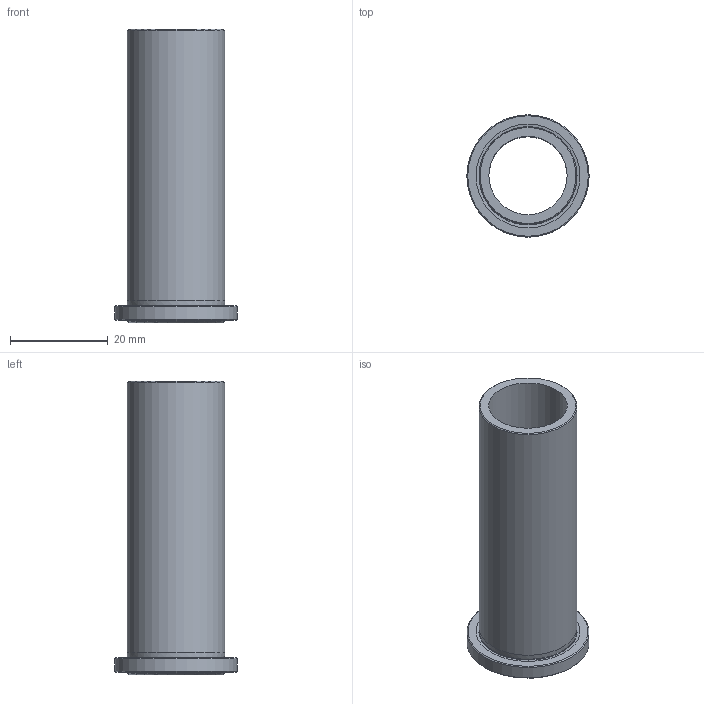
import cadquery as cq
import math

total_length = 60.0
bore_diameter = 16.0
sleeve_diameter = 20.0
flange_diameter = 25.0
flange_thickness = 3.0
sleeve_edge_chamfer = 0.2
flange_edge_chamfer = 0.2

spigot_length = 0.5
spigot_chamfer_width = 0.5
spigot_chamfer_slope = math.radians(30)
spigot_flare_width = 0.5

relief_depth = 0.1
relief_length = 1.1
relief_face_slope = math.radians(8)
relief_corner_radius = 0.1

bore_radius = bore_diameter / 2
sleeve_radius = sleeve_diameter / 2
flange_radius = flange_diameter / 2
spigot_chamfer_height = spigot_chamfer_width * math.tan(spigot_chamfer_slope)
flange_bottom = spigot_length
flange_top = flange_bottom + flange_thickness
neck_radius = sleeve_radius - relief_depth
relief_top = flange_top + relief_length
relief_floor = flange_top - relief_depth
relief_rim_radius = neck_radius + relief_depth / math.tan(relief_face_slope)


def sleeve_blank():
    """Revolve the half section of spigot, flange, undercut and sleeve."""
    section = (
        cq.Workplane("XZ")
        .moveTo(bore_radius, 0)
        .lineTo(sleeve_radius - spigot_chamfer_width, 0)
        .lineTo(sleeve_radius, spigot_chamfer_height)
        .lineTo(sleeve_radius + spigot_flare_width, flange_bottom)
        .lineTo(flange_radius - flange_edge_chamfer, flange_bottom)
        .lineTo(flange_radius, flange_bottom + flange_edge_chamfer)
        .lineTo(flange_radius, flange_top - flange_edge_chamfer)
        .lineTo(flange_radius - flange_edge_chamfer, flange_top)
        .lineTo(relief_rim_radius, flange_top)
        .lineTo(neck_radius, relief_floor)
        .lineTo(sleeve_radius, relief_top)
        .lineTo(sleeve_radius, total_length - sleeve_edge_chamfer)
        .lineTo(sleeve_radius - sleeve_edge_chamfer, total_length)
        .lineTo(bore_radius, total_length)
        .close()
    )
    return section.revolve(360, (0, 0, 0), (0, 1, 0))


def round_relief_corner(sleeve):
    """Fillet the inner corner at the bottom of the undercut."""
    corner_edge = sleeve.edges("%CIRCLE").edges(
        cq.selectors.BoxSelector(
            (-flange_radius, -flange_radius, relief_floor - relief_depth / 2),
            (flange_radius, flange_radius, relief_floor + relief_depth / 2),
        )
    )
    return corner_edge.fillet(relief_corner_radius)


result = round_relief_corner(sleeve_blank())